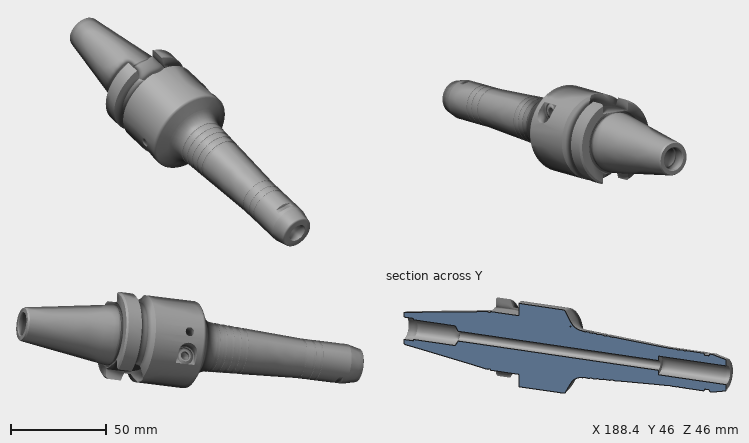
import cadquery as cq
import math

LENGTH = 188.4
BODY_R = 23.0

TAPER_LENGTH = 48.5
TAPER_BIG_R = 31.8 / 2
TAPER_SLOPE = 7 / 48
TAPER_END_CHAMFER = 1.0

RELIEF_START = 49.4
RELIEF_FLOOR_START = 49.7
RELIEF_FLOOR_R = 15.6
RELIEF_END = 50.7
RELIEF_WALL_R = 16.8
RELIEF_TOP_R = 17.3

FLANGE_START = 50.1
FLANGE_CHAMFER = 1.0
FLANGE_END = 58.4
GRIP_FLOOR_START = 60.3
GRIP_FLOOR_END = 63.5
GRIP_R = 19.0
BODY_START = 66.3

SHOULDER_START = 94.2
SHOULDER_ANGLE = 60
SHOULDER_FILLET = 1.7
NOSE_BLEND_R = 7.5
NOSE_START = 104.4
NOSE_BIG_R = 13.0
NOSE_TAPER_END = 154.7
NOSE_R = 21.0 / 2
TIP_TAPER_START = 180.7
TIP_EDGE_R = 8.9
TIP_ROUND = 0.8

NOSE_GROOVE_DEPTH = 0.2
RIB_GROOVE_START = 104.8
RIB_GROOVE_PITCH = 4.0
RIB_GROOVE_WIDTH = 1.7
RIB_GROOVE_COUNT = 5
BAND_GROOVE_STARTS = (NOSE_TAPER_END, 159.8, 163.7)
BAND_GROOVE_WIDTH = 1.1

KEYWAY_WIDTH = 16.2
KEYWAY_FLOOR = 16.2
KEYWAY_END = 67.3

THROUGH_R = 5.0 / 2
MOUTH_R = 12.8 / 2
COUNTERBORE_R = 12.0 / 2
COUNTERBORE_DEPTH = 5.7
DRAW_BORE_R = 10.5 / 2
DRAW_BORE_DEPTH = 30.1
DRILL_POINT_ANGLE = 59
TOOL_BORE_R = 10.0 / 2
TOOL_BORE_DEPTH = 39.5

SCREW_X = 85.3
POCKET_R = 10.5 / 2
POCKET_FLOOR = 15.8
POCKET_Z = 12.2
SCREW_R = 9.0 / 2
SCREW_RIM_R = 6.0 / 2
SCREW_BEVEL = 1.0
SOCKET_R = 4.7 / 2
SOCKET_DEPTH = 1.5
PLUG_R = 4.7 / 2
PLUG_Z = -1.1
PLUG_DEPTH = 7.5
PLUG_TILT = 7
PLUG_SOCKET_R = 3.0 / 2
PLUG_SOCKET_DEPTH = 1.1

NOTCH_X = 177.1
NOTCH_FLOOR_WIDTH = 2.3
NOTCH_TOP_WIDTH = 3.4
NOTCH_FLOOR = 9.5


def nose_taper_radius(x):
    """Radius of the long nose cone at position x."""
    share = (x - NOSE_START) / (NOSE_TAPER_END - NOSE_START)
    return NOSE_BIG_R + share * (NOSE_R - NOSE_BIG_R)


def revolve_about_x(outline):
    """Turn a closed half outline, drawn in X and radius, into a round solid."""
    return outline.close().revolve(360, (0, 0, 0), (1, 0, 0))


def ring(start, width, inner_r):
    """Ring cutter around the nose, leaving radius inner_r."""
    return cq.Workplane("YZ", origin=(start, 0, 0)).circle(BODY_R).circle(inner_r).extrude(width)


def make_blank():
    edge_r = TAPER_BIG_R - TAPER_SLOPE * (TAPER_LENGTH - TAPER_END_CHAMFER)
    face_r = edge_r - TAPER_END_CHAMFER / 2

    angle = math.radians(SHOULDER_ANGLE)
    tangent = SHOULDER_FILLET * math.tan(angle / 2)
    fillet_start = (SHOULDER_START - tangent, BODY_R)
    fillet_middle = (
        fillet_start[0] + SHOULDER_FILLET * math.sin(angle / 2),
        BODY_R - SHOULDER_FILLET * (1 - math.cos(angle / 2)),
    )
    fillet_end = (
        SHOULDER_START + tangent * math.cos(angle),
        BODY_R - tangent * math.sin(angle),
    )

    blend_start_r = NOSE_BIG_R + NOSE_BLEND_R * (1 - math.cos(angle))
    blend_start_x = SHOULDER_START + (BODY_R - blend_start_r) / math.tan(angle)

    outline = (
        cq.Workplane("XY")
        .moveTo(0, 0)
        .lineTo(0, face_r)
        .lineTo(TAPER_END_CHAMFER, edge_r)
        .lineTo(TAPER_LENGTH, TAPER_BIG_R)
        .lineTo(RELIEF_START, TAPER_BIG_R)
        .lineTo(RELIEF_FLOOR_START, RELIEF_FLOOR_R)
        .lineTo(RELIEF_END, RELIEF_FLOOR_R)
        .lineTo(RELIEF_END, RELIEF_WALL_R)
        .lineTo(FLANGE_START, RELIEF_TOP_R)
        .lineTo(FLANGE_START, BODY_R - FLANGE_CHAMFER)
        .lineTo(FLANGE_START + FLANGE_CHAMFER, BODY_R)
        .lineTo(FLANGE_END, BODY_R)
        .lineTo(GRIP_FLOOR_START, GRIP_R)
        .lineTo(GRIP_FLOOR_END, GRIP_R)
        .lineTo(BODY_START, BODY_R)
        .lineTo(*fillet_start)
        .threePointArc(fillet_middle, fillet_end)
        .lineTo(blend_start_x, blend_start_r)
        .tangentArcPoint((NOSE_START, NOSE_BIG_R), relative=False)
        .lineTo(NOSE_TAPER_END, NOSE_R)
        .lineTo(TIP_TAPER_START, NOSE_R)
        .lineTo(LENGTH - TIP_ROUND, TIP_EDGE_R)
        .tangentArcPoint((LENGTH, TIP_EDGE_R - TIP_ROUND), relative=False)
        .lineTo(LENGTH, 0)
    )
    return revolve_about_x(outline)


def cut_nose_grooves(body):
    for i in range(RIB_GROOVE_COUNT):
        start = RIB_GROOVE_START + i * RIB_GROOVE_PITCH
        floor_r = nose_taper_radius(start + RIB_GROOVE_WIDTH) - NOSE_GROOVE_DEPTH
        body = body.cut(ring(start, RIB_GROOVE_WIDTH, floor_r))
    for start in BAND_GROOVE_STARTS:
        body = body.cut(ring(start, BAND_GROOVE_WIDTH, NOSE_R - NOSE_GROOVE_DEPTH))
    return body


def cut_keyways(body):
    """Two opposite round-ended drive slots through the flange."""
    end_r = KEYWAY_WIDTH / 2
    arc_x = KEYWAY_END - end_r
    for side in (1, -1):
        slot = (
            cq.Workplane("XY", origin=(0, 0, side * KEYWAY_FLOOR))
            .moveTo(TAPER_LENGTH, -end_r)
            .lineTo(arc_x, -end_r)
            .threePointArc((KEYWAY_END, 0), (arc_x, end_r))
            .lineTo(TAPER_LENGTH, end_r)
            .close()
            .extrude(side * BODY_R)
        )
        body = body.cut(slot)
    return body


def cut_bores(body):
    mouth_depth = MOUTH_R - COUNTERBORE_R
    cone_length = (DRAW_BORE_R - THROUGH_R) / math.tan(math.radians(DRILL_POINT_ANGLE))
    tool_stop = LENGTH - TOOL_BORE_DEPTH
    outline = (
        cq.Workplane("XY")
        .moveTo(0, 0)
        .lineTo(0, MOUTH_R)
        .lineTo(mouth_depth, COUNTERBORE_R)
        .lineTo(COUNTERBORE_DEPTH, COUNTERBORE_R)
        .lineTo(COUNTERBORE_DEPTH, DRAW_BORE_R)
        .lineTo(DRAW_BORE_DEPTH, DRAW_BORE_R)
        .lineTo(DRAW_BORE_DEPTH + cone_length, THROUGH_R)
        .lineTo(tool_stop, THROUGH_R)
        .lineTo(tool_stop, TOOL_BORE_R)
        .lineTo(LENGTH, TOOL_BORE_R)
        .lineTo(LENGTH, 0)
    )
    return body.cut(revolve_about_x(outline))


def socket(radius, depth):
    """Round socket with a pointed bottom, opening at Z = 0 and going down."""
    outline = (
        cq.Workplane("XZ")
        .moveTo(0, 0)
        .lineTo(radius, 0)
        .lineTo(radius, -depth)
        .lineTo(0, -depth - radius / 2)
        .close()
    )
    return outline.revolve(360, (0, 0, 0), (0, 1, 0))


def screw_pocket():
    """Cutter for a screw pocket with its floor at Z = 0, open upward and toward -Y."""
    round_end = cq.Workplane("XY").circle(POCKET_R).extrude(BODY_R)
    open_side = cq.Workplane("XY").center(0, -BODY_R / 2).rect(2 * POCKET_R, BODY_R).extrude(BODY_R)
    pocket = round_end.union(open_side)
    bevel = (
        cq.Workplane("XZ")
        .moveTo(SCREW_RIM_R, 0)
        .lineTo(SCREW_R, 0)
        .lineTo(SCREW_R, -SCREW_BEVEL)
        .close()
        .revolve(360, (0, 0, 0), (0, 1, 0))
    )
    return pocket.union(bevel).union(socket(SOCKET_R, SOCKET_DEPTH))


def cut_screw_pockets(body):
    """Two opposite pockets: one facing -Y below the axis, one facing +Y above it."""
    front_pocket = (
        screw_pocket()
        .rotate((0, 0, 0), (1, 0, 0), 90)
        .translate((SCREW_X, -POCKET_FLOOR, -POCKET_Z))
    )
    back_pocket = front_pocket.rotate((0, 0, 0), (1, 0, 0), 180)
    return body.cut(front_pocket).cut(back_pocket)


def cut_plug(body):
    """Small tilted plug hole facing -Y, with the plug's socket in its floor."""
    hole = cq.Workplane("XY").circle(PLUG_R).extrude(BODY_R)
    plug = (
        hole.union(socket(PLUG_SOCKET_R, PLUG_SOCKET_DEPTH))
        .translate((0, 0, -PLUG_DEPTH))
        .rotate((0, 0, 0), (1, 0, 0), 90 - PLUG_TILT)
        .translate((SCREW_X, -BODY_R, PLUG_Z))
    )
    return body.cut(plug)


def cut_tip_notches(body):
    """Shallow flat-floored notches with sloping sides on the top and bottom of the nose."""
    for side in (1, -1):
        notch = (
            cq.Workplane("XZ")
            .polyline(
                [
                    (NOTCH_X - NOTCH_FLOOR_WIDTH / 2, side * NOTCH_FLOOR),
                    (NOTCH_X + NOTCH_FLOOR_WIDTH / 2, side * NOTCH_FLOOR),
                    (NOTCH_X + NOTCH_TOP_WIDTH / 2, side * NOSE_R),
                    (NOTCH_X - NOTCH_TOP_WIDTH / 2, side * NOSE_R),
                ]
            )
            .close()
            .extrude(NOSE_R, both=True)
        )
        body = body.cut(notch)
    return body


result = make_blank()
result = cut_nose_grooves(result)
result = cut_keyways(result)
result = cut_bores(result)
result = cut_screw_pockets(result)
result = cut_plug(result)
result = cut_tip_notches(result)